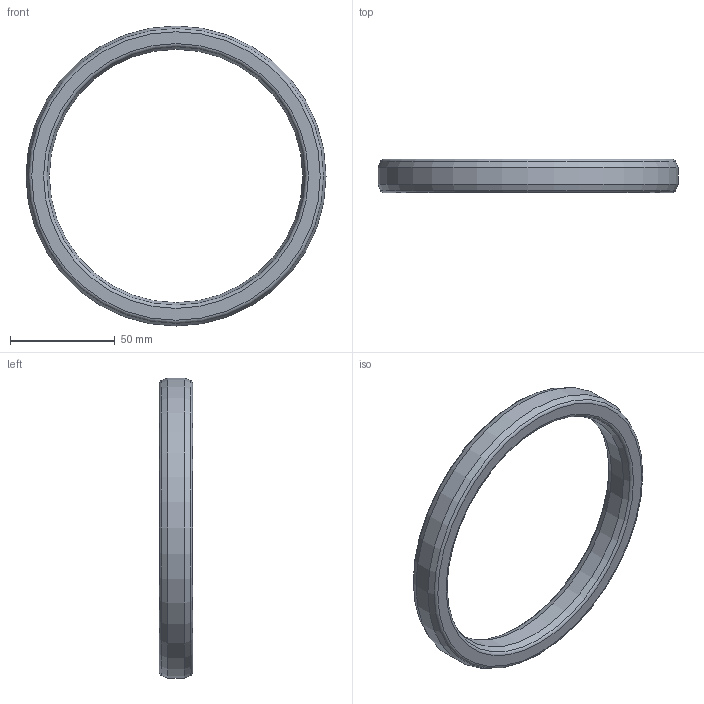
import cadquery as cq
import math

pitch_diameter = 131.78
ring_width = 11.11
ring_height = 15.88
flat_width = 7.75
seat_angle = 23.0
corner_radius = 1.6

pitch_radius = pitch_diameter / 2
half_width = ring_width / 2
half_height = ring_height / 2
half_flat = flat_width / 2
seat_height = (half_width - half_flat) / math.tan(math.radians(seat_angle))
half_band = half_height - seat_height


def octagonal_section():
    """Sharp-cornered section in the YZ plane, centred on the pitch radius."""
    quarter_corners = [(half_band, half_width), (half_height, half_flat)]
    upper = quarter_corners + [(y, -z) for y, z in reversed(quarter_corners)]
    lower = [(-y, z) for y, z in reversed(upper)]
    return cq.Workplane("YZ").center(0, pitch_radius).polyline(upper + lower).close()


def ring_blank():
    """Section turned a full revolution about the Y axis."""
    axis_start = (0, -pitch_radius)
    axis_end = (1, -pitch_radius)
    return octagonal_section().revolve(360, axis_start, axis_end)


def round_end_corners(ring):
    """Round the inner and outer rims of both end flats."""
    return ring.faces("<Y or >Y").edges().fillet(corner_radius)


result = round_end_corners(ring_blank())